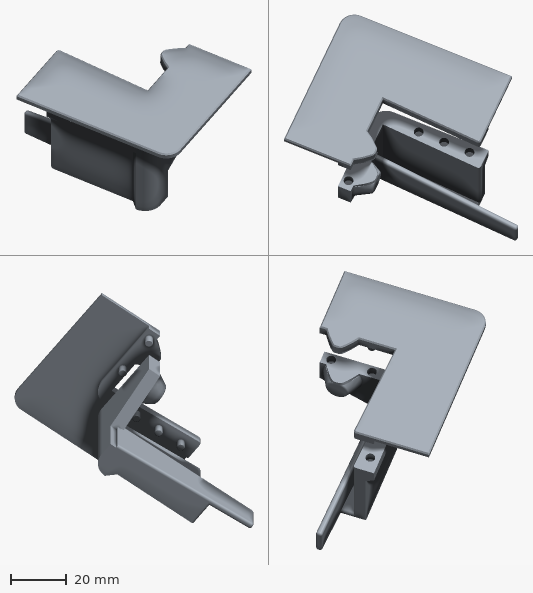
import cadquery as cq
import math

WALL_LENGTH = 44.0
ARM_INNER_X = 39.0
ARM_END_Y = 34.8
WALL_BACK_LEFT_Y = 8.0
SKEW_ANGLE = 3.0
SKEW_SLOPE = math.tan(math.radians(SKEW_ANGLE))
WALL_BACK_INNER_Y = WALL_BACK_LEFT_Y - ARM_INNER_X * SKEW_SLOPE
BLOCK_HEIGHT = 32.1
BLOCK_CORNER_RADIUS = 6.5
EDGE_RADIUS = 1.0

RECESS_DEPTH = 3.2
RECESS_RIGHT_X = 37.6
RECESS_TOP_Z = 27.5
RECESS_TOP_ANGLE = 30.0

ARM_END_BOTTOM_Z = 22.2
ARM_UNDERSIDE_ANGLE = 22.3

TAB_TIP_X = -17.96
TAB_THICKNESS = 2.4
TAB_FRONT_Y = 12.7
TAB_HEIGHT = 12.15
TAB_TOP_SLOPE = 0.1
TAB_MIDDLE_Y = TAB_FRONT_Y + TAB_THICKNESS / 2
FLOOR_THICKNESS = 2 * EDGE_RADIUS

BOSS_Y = 26.05
BOSS_Z = 27.4
BOSS_BASE_RADIUS = 7.5
BOSS_TIP_RADIUS = 4.05
BOSS_LENGTH = 6.45
BOSS_TIP_FILLET = 1.0
COLLAR_BOTTOM_Z = 31.1
COLLAR_TOP_Z = 32.55
EAR_SECTION_OFFSET = 4.2
EAR_FLAT_HALF_WIDTH = 0.65
EAR_SHOULDER_Y = 2.3

LIFT = 18.5
COVER_TOP_Z = 54.65
COVER_THICKNESS = 2.05
COVER_RIGHT_X = 65.3
COVER_FRONT_Y = -21.04
COVER_CORNER_RADIUS = 5.8
COVER_CHAMFER = 0.5
RIB_BOTTOM_Z = BLOCK_HEIGHT + LIFT
COVER_BOTTOM_Z = COVER_TOP_Z - COVER_THICKNESS

PIN_DIAMETER = 3.0
PIN_LENGTH = 3.25
PIN_CHAMFER = 0.3
HOLE_DIAMETER = 3.5
HOLE_DEPTH = 3.5
ARM_PIN_X = 41.4
WALL_PIN_Y = 3.55
PIN_POSITIONS = [
    (6.0, WALL_PIN_Y),
    (16.0, WALL_PIN_Y),
    (26.0, WALL_PIN_Y),
    (ARM_PIN_X, 15.7),
    (ARM_PIN_X, 31.3),
]


def bracket_prism(bottom_z, top_z, right_x, front_y, corner_radius):
    """Upright L-shaped prism with a rounded outer corner and a small rounding at the rear left."""
    return (
        cq.Workplane("XY", origin=(0, 0, bottom_z))
        .moveTo(0, front_y)
        .lineTo(right_x, front_y)
        .lineTo(right_x, ARM_END_Y)
        .lineTo(ARM_INNER_X, ARM_END_Y)
        .lineTo(ARM_INNER_X, WALL_BACK_INNER_Y)
        .lineTo(0, WALL_BACK_LEFT_Y)
        .close()
        .extrude(top_z - bottom_z)
        .edges(cq.selectors.NearestToPointSelector((right_x, front_y, (bottom_z + top_z) / 2)))
        .fillet(corner_radius)
        .edges(cq.selectors.NearestToPointSelector((0, WALL_BACK_LEFT_Y, (bottom_z + top_z) / 2)))
        .fillet(EDGE_RADIUS)
    )


def front_recess():
    """Cutter for the recess: open at the left and bottom, sloping at the top and right."""
    top_drop = RECESS_DEPTH * math.tan(math.radians(RECESS_TOP_ANGLE))
    plan = (
        cq.Workplane("XY")
        .polyline([
            (0, 0),
            (RECESS_RIGHT_X, 0),
            (RECESS_RIGHT_X - RECESS_DEPTH, RECESS_DEPTH),
            (0, RECESS_DEPTH),
        ])
        .close()
        .extrude(BLOCK_HEIGHT)
    )
    side = (
        cq.Workplane("YZ")
        .polyline([
            (0, 0),
            (0, RECESS_TOP_Z),
            (RECESS_DEPTH, RECESS_TOP_Z - top_drop),
            (RECESS_DEPTH, 0),
        ])
        .close()
        .extrude(WALL_LENGTH)
    )
    return plan.intersect(side)


def arm_underside():
    """Cutter below the arm: sloping down from the arm's end, then upright behind the tab."""
    rear_y = TAB_MIDDLE_Y - ARM_INNER_X * SKEW_SLOPE
    drop = (ARM_END_Y - rear_y) * math.tan(math.radians(ARM_UNDERSIDE_ANGLE))
    return (
        cq.Workplane("YZ")
        .polyline([
            (rear_y, 0),
            (rear_y, ARM_END_BOTTOM_Z - drop),
            (ARM_END_Y, ARM_END_BOTTOM_Z),
            (ARM_END_Y, 0),
        ])
        .close()
        .extrude(WALL_LENGTH)
    )


def tab():
    """Thin upright tab with rounded top, bottom and tip, reaching into the arm."""
    tab_end_x = (ARM_INNER_X + WALL_LENGTH) / 2
    return (
        cq.Workplane("XZ", origin=(0, TAB_FRONT_Y + TAB_THICKNESS, 0))
        .polyline([
            (TAB_TIP_X, 0),
            (tab_end_x, 0),
            (tab_end_x, TAB_HEIGHT + tab_end_x * TAB_TOP_SLOPE),
            (TAB_TIP_X, TAB_HEIGHT + TAB_TIP_X * TAB_TOP_SLOPE),
        ])
        .close()
        .extrude(TAB_THICKNESS)
        .edges("not >X")
        .fillet(EDGE_RADIUS)
        .rotate((0, TAB_FRONT_Y, 0), (0, TAB_FRONT_Y, 1), -SKEW_ANGLE)
    )


def floor():
    """Floor between the wall and the tab, with a fully rounded left edge."""
    start_y = WALL_BACK_INNER_Y - EDGE_RADIUS
    plan = (
        cq.Workplane("XY")
        .polyline([
            (0, start_y),
            (ARM_INNER_X, start_y),
            (ARM_INNER_X, TAB_MIDDLE_Y - ARM_INNER_X * SKEW_SLOPE),
            (0, TAB_MIDDLE_Y),
        ])
        .close()
        .extrude(FLOOR_THICKNESS)
    )
    rounded_slab = (
        cq.Workplane("XZ")
        .moveTo(EDGE_RADIUS, 0)
        .lineTo(ARM_INNER_X, 0)
        .lineTo(ARM_INNER_X, FLOOR_THICKNESS)
        .lineTo(EDGE_RADIUS, FLOOR_THICKNESS)
        .threePointArc((0, FLOOR_THICKNESS / 2), (EDGE_RADIUS, 0))
        .close()
        .extrude(-TAB_MIDDLE_Y)
    )
    return plan.intersect(rounded_slab)


def boss_cone():
    """Cone pointing towards -X with a rounded tip, cut off level at the collar."""
    cone = (
        cq.Workplane("XY", origin=(ARM_INNER_X, BOSS_Y, BOSS_Z))
        .polyline([
            (0, 0),
            (0, BOSS_BASE_RADIUS),
            (-BOSS_LENGTH, BOSS_TIP_RADIUS),
            (-BOSS_LENGTH, 0),
        ])
        .close()
        .revolve(360, (0, 0, 0), (1, 0, 0))
        .faces("<X")
        .edges()
        .fillet(BOSS_TIP_FILLET)
    )
    above_collar = (
        cq.Workplane("XY", origin=(ARM_INNER_X, BOSS_Y, COLLAR_BOTTOM_Z))
        .rect(4 * BOSS_LENGTH, 4 * BOSS_BASE_RADIUS)
        .extrude(BOSS_BASE_RADIUS)
    )
    return cone.cut(above_collar)


def cone_reach(across, section_offset):
    """How far the unrounded cone stands out from the arm at one point of a level section."""
    radius = math.hypot(across, section_offset)
    return BOSS_LENGTH * (BOSS_BASE_RADIUS - radius) / (BOSS_BASE_RADIUS - BOSS_TIP_RADIUS)


def nose_outline(workplane, section_offset, shoulder_reach, flat_reach):
    """Closed outline of the nose: two curved sides following the cone section and a flat tip."""
    half_width = math.sqrt(BOSS_BASE_RADIUS ** 2 - section_offset ** 2)
    side_middle = (half_width + EAR_SHOULDER_Y) / 2
    bend_middle = (EAR_SHOULDER_Y + EAR_FLAT_HALF_WIDTH) / 2
    bend_reach = flat_reach - (flat_reach - shoulder_reach) / 4
    far_side = [
        (-bend_reach, bend_middle),
        (-shoulder_reach, EAR_SHOULDER_Y),
        (-cone_reach(side_middle, section_offset), side_middle),
        (0, half_width),
    ]
    near_side = [(x, -y) for x, y in reversed(far_side)]
    return (
        workplane
        .moveTo(*near_side[0])
        .spline(near_side[1:] + [(-flat_reach, -EAR_FLAT_HALF_WIDTH)], includeCurrent=True)
        .lineTo(-flat_reach, EAR_FLAT_HALF_WIDTH)
        .spline(far_side, includeCurrent=True)
        .close()
    )


def ear_outline(workplane):
    """Outline of the upright ear."""
    return nose_outline(
        workplane,
        EAR_SECTION_OFFSET,
        cone_reach(EAR_SHOULDER_Y, EAR_SECTION_OFFSET),
        cone_reach(EAR_FLAT_HALF_WIDTH, EAR_SECTION_OFFSET),
    )


def collar():
    """Tapered collar from the level cut of the cone up to the ear outline."""
    section_offset = COLLAR_BOTTOM_Z - BOSS_Z
    base = cq.Workplane("XY", origin=(ARM_INNER_X, BOSS_Y, COLLAR_BOTTOM_Z))
    lower = nose_outline(base, section_offset, cone_reach(EAR_SHOULDER_Y, section_offset), BOSS_LENGTH)
    return ear_outline(lower.workplane(offset=COLLAR_TOP_Z - COLLAR_BOTTOM_Z)).loft(ruled=True)


def collar_part(direction):
    """The part of the collar above (direction 1) or below (-1) the top face of the block."""
    slab = (
        cq.Workplane("XY", origin=(ARM_INNER_X, BOSS_Y, BLOCK_HEIGHT))
        .rect(4 * BOSS_LENGTH, 4 * BOSS_BASE_RADIUS)
        .extrude(direction * BOSS_BASE_RADIUS)
    )
    return collar().intersect(slab)


def build_block():
    body = (
        bracket_prism(0, BLOCK_HEIGHT, WALL_LENGTH, 0, BLOCK_CORNER_RADIUS)
        .cut(front_recess())
        .cut(arm_underside())
        .edges(cq.selectors.NearestToPointSelector((0, WALL_BACK_LEFT_Y / 2, 0)))
        .fillet(EDGE_RADIUS)
        .union(floor())
        .union(tab())
        .union(boss_cone())
        .union(collar_part(-1))
    )
    holes = (
        cq.Workplane("XY", origin=(0, 0, BLOCK_HEIGHT))
        .pushPoints(PIN_POSITIONS)
        .circle(HOLE_DIAMETER / 2)
        .extrude(-HOLE_DEPTH)
    )
    return body.cut(holes)


def build_cover():
    ear_bottom_z = COLLAR_TOP_Z + LIFT
    ear_base = cq.Workplane("XY", origin=(ARM_INNER_X, BOSS_Y, ear_bottom_z))
    ear = ear_outline(ear_base).extrude(COVER_TOP_Z - ear_bottom_z)
    plate = (
        bracket_prism(COVER_BOTTOM_Z, COVER_TOP_Z, COVER_RIGHT_X, COVER_FRONT_Y, COVER_CORNER_RADIUS)
        .union(ear)
        .faces(">Z")
        .edges()
        .chamfer(COVER_CHAMFER)
    )
    rib = bracket_prism(RIB_BOTTOM_Z, COVER_BOTTOM_Z, WALL_LENGTH, 0, BLOCK_CORNER_RADIUS)
    pins = (
        cq.Workplane("XY", origin=(0, 0, RIB_BOTTOM_Z))
        .pushPoints(PIN_POSITIONS)
        .circle(PIN_DIAMETER / 2)
        .extrude(-PIN_LENGTH)
        .faces("<Z")
        .edges()
        .chamfer(PIN_CHAMFER)
    )
    collar_top = collar_part(1).translate((0, 0, LIFT))
    return plate.union(rib).union(collar_top).union(pins)


block = build_block()
cover = build_cover()

result = cq.Compound.makeCompound([block.val(), cover.val()])